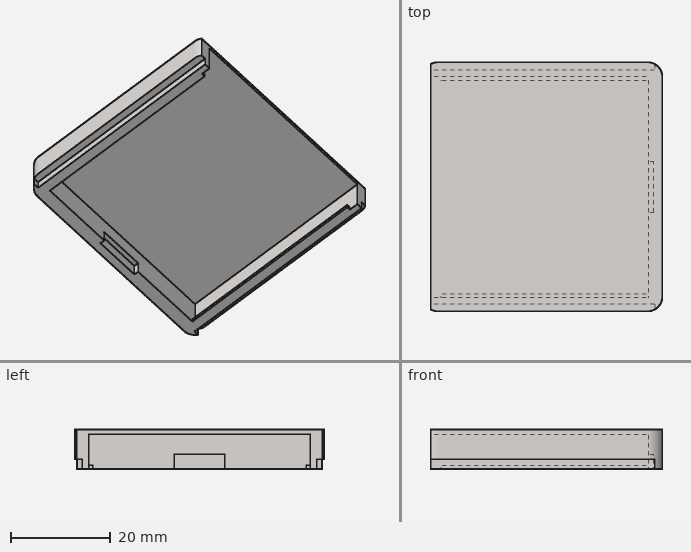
import cadquery as cq

length = 46.5
width = 50.0
height = 8.0
corner_radius = 3.0
open_end_trim = 1.5

roof_thickness = 1.0
wall_thickness = 2.8
cavity_width = width - 2 * wall_thickness
cavity_length = length - wall_thickness

rebate_height = 2.0
rebate_depth = 1.5
rebate_length = length - rebate_depth

rail_height = 0.8
rail_depth = 0.8
rail_start = 2.0
rail_length = cavity_length - rail_start

recess_width = 10.2
recess_height = 3.0
recess_depth = 1.0


def corner_box(x, y, size_x, size_y, size_z):
    """Box standing on the rim plane, with its lowest X and Y corner at (x, y)."""
    return cq.Workplane("XY").box(size_x, size_y, size_z, centered=False).translate((x, y, 0))


def outer_block():
    """Block with rounded corners; the open end trims away half of its corner arcs."""
    full_length = length + open_end_trim
    block = corner_box(-open_end_trim, -width / 2, full_length, width, height)
    block = block.edges("|Z").fillet(corner_radius)
    return block.intersect(corner_box(0, -width / 2, length, width, height))


def cavity():
    return corner_box(0, -cavity_width / 2, cavity_length, cavity_width, height - roof_thickness)


def end_wall_recess():
    return corner_box(cavity_length, -recess_width / 2, recess_depth, recess_width, recess_height)


def both_sides(body):
    """The +Y body together with its mirror image on the -Y side."""
    return body.union(body.mirror("XZ"))


def side_rebates():
    rebate = corner_box(0, width / 2 - rebate_depth, rebate_length, rebate_depth, rebate_height)
    return both_sides(rebate)


def snap_rails():
    rail = corner_box(rail_start, cavity_width / 2 - rail_depth, rail_length, rail_depth, rail_height)
    return both_sides(rail)


cover = outer_block().cut(cavity()).cut(end_wall_recess())
result = cover.cut(side_rebates()).union(snap_rails())